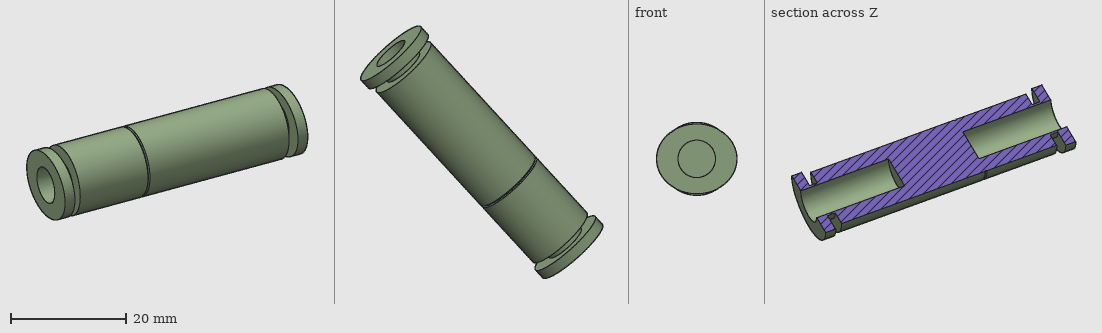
import cadquery as cq

total_length = 47.9
body_diameter = 12.7

collar_width = 14.0
collar_height = 12.1
collar_thickness = 1.95
neck_diameter = 7.5
neck_length = 1.4

socket_diameter = 6.5
socket_depth = 16.8

groove_centre = 16.9
groove_width = 0.4
groove_depth = groove_width / 2

front_end = -total_length / 2
body_length = total_length - 2 * (collar_thickness + neck_length)


def section_plane(y):
    """Workplane square to the part axis at y, extruding toward +Y."""
    return cq.Workplane(cq.Plane(origin=(0, y, 0), xDir=(1, 0, 0), normal=(0, 1, 0)))


def cylinder(start_y, diameter, length):
    """Solid cylinder on the part axis."""
    return section_plane(start_y).circle(diameter / 2).extrude(length)


def grooved_body():
    """Main cylinder with the V groove cut around it."""
    body = cylinder(-body_length / 2, body_diameter, body_length)
    body_radius = body_diameter / 2
    groove_y = front_end + groove_centre
    ring = (
        cq.Workplane("XY")
        .moveTo(body_radius, groove_y - groove_width / 2)
        .lineTo(body_radius, groove_y + groove_width / 2)
        .lineTo(body_radius - groove_depth, groove_y)
        .close()
        .revolve(360, (0, 0, 0), (0, 1, 0))
    )
    return body.cut(ring)


def front_collar():
    """Oval collar and its neck at the -Y end."""
    collar = (
        section_plane(front_end)
        .ellipse(collar_width / 2, collar_height / 2)
        .extrude(collar_thickness)
    )
    neck = cylinder(front_end + collar_thickness, neck_diameter, neck_length)
    return collar.union(neck)


def front_socket():
    """Volume of the blind socket at the -Y end."""
    return cylinder(front_end, socket_diameter, socket_depth)


def at_both_ends(shape):
    """The given -Y end shape together with its mirror image at the +Y end."""
    return shape.union(shape.mirror("XZ"))


result = grooved_body().union(at_both_ends(front_collar())).cut(at_both_ends(front_socket()))